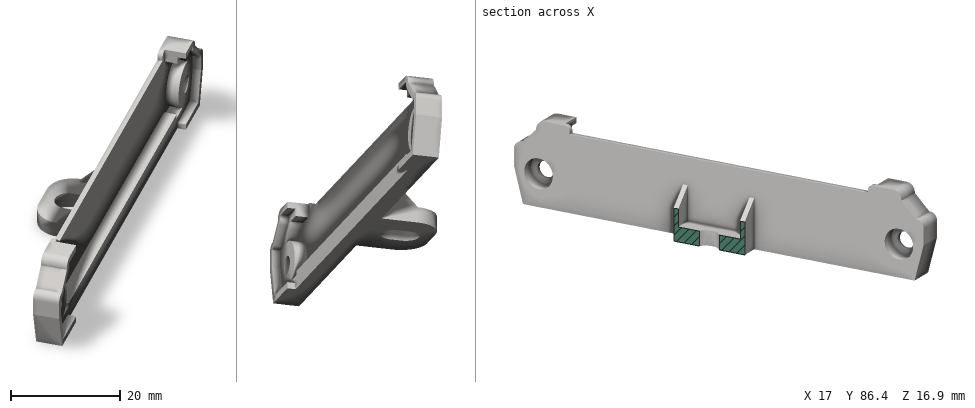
import cadquery as cq

half_length = 43.2
height = 16.9
end_depth = 5.0

bottom_half_length = 41.3
taper_top = 7.2
shoulder_y = 41.55
shoulder_z = 12.0
tab_outer_y = 38.5
tab_outer_z = shoulder_z + shoulder_y - tab_outer_y
shoulder_radius = 1.5
tab_outer_radius = 1.7

web_thickness = 1.0
web_top = 15.35
tab_inner_y = 31.45
tab_inner_radius = 1.0

lip_wall = 1.2
step_wall = 2.6
step_depth = 3.4
end_inner_y = 32.9

rail_half_length = 32.4
rail_height = 3.4

screw_y = 38.0
screw_z = 6.5
screw_diameter = 3.4
head_diameter = 6.0
head_depth = 2.5
boss_diameter = 9.0

foot_reach = 12.0
foot_width = 15.0
foot_thickness = 3.0
foot_corner_radius = 5.0
slot_center_x = -6.0
slot_length = 7.2
slot_width = 5.0
gusset_thickness = 1.0
gusset_length = foot_reach - foot_corner_radius
gusset_top = foot_thickness + gusset_length


def block(x_range, y_range, z_range):
    """Axis-aligned box between the given limits."""
    size = [high - low for low, high in (x_range, y_range, z_range)]
    corner = (x_range[0], y_range[0], z_range[0])
    return cq.Workplane("XY").box(*size, centered=False).translate(corner)


def outline_prism():
    """Full-length outline extruded to the depth of the ends."""
    half_points = [
        (bottom_half_length, 0),
        (half_length, taper_top),
        (half_length, shoulder_z),
        (shoulder_y, shoulder_z),
        (tab_outer_y, tab_outer_z),
        (tab_outer_y, height),
    ]
    mirrored_points = [(-y, z) for y, z in reversed(half_points)]
    prism = cq.Workplane("YZ").polyline(half_points + mirrored_points).close().extrude(end_depth)
    rounded_corners = (
        (half_length, shoulder_z, shoulder_radius),
        (tab_outer_y, height, tab_outer_radius),
    )
    for y, z, radius in rounded_corners:
        for side in (-1, 1):
            edge_middle = (end_depth / 2, side * y, z)
            prism = prism.edges(cq.selectors.NearestToPointSelector(edge_middle)).fillet(radius)
    return prism


def cavity(prism, wall, depth_start, depth_end):
    """Space left inside a rim of the given wall thickness, between two depths."""
    rim_wire = prism.faces("<X").wires().val()
    inner_wire = rim_wire.offset2D(-wall)[0]
    inner_face = cq.Face.makeFromWires(inner_wire)
    depth = cq.Vector(depth_end - depth_start, 0, 0)
    solid = cq.Solid.extrudeLinear(inner_face, depth)
    return cq.Workplane(solid.translate(cq.Vector(depth_start, 0, 0)))


def web_and_rim():
    """Web with the stepped rim around its ends and along its bottom edge."""
    prism = outline_prism()
    body = prism.cut(cavity(prism, step_wall, web_thickness, step_depth))
    body = body.cut(cavity(prism, lip_wall, step_depth, end_depth))
    middle = (-end_inner_y, end_inner_y)
    body = body.cut(block((web_thickness, end_depth), middle, (step_wall, height)))
    body = body.cut(block((step_depth, end_depth), middle, (0, height)))
    return body.cut(tab_gap())


def tab_gap():
    """Space above the lowered web, flared by the rounded inner corners of the tabs."""
    gap = block((0, web_thickness), (-tab_inner_y, tab_inner_y), (web_top, height))
    for side in (-1, 1):
        corner = block((0, web_thickness), (0, tab_inner_radius), (height - tab_inner_radius, height))
        rounding = (
            cq.Workplane("YZ")
            .center(tab_inner_radius, height - tab_inner_radius)
            .circle(tab_inner_radius)
            .extrude(web_thickness)
        )
        flare = corner.cut(rounding).translate((0, tab_inner_y, 0))
        gap = gap.union(flare if side > 0 else flare.mirror("XZ"))
    return gap


def screw_cylinder(side, diameter, depth):
    """Cylinder on a screw axis, from the front of the web to the given depth."""
    return cq.Workplane("YZ").center(side * screw_y, screw_z).circle(diameter / 2).extrude(depth)


def rail():
    """Straight bar behind the web, between the two ends."""
    return block((web_thickness, step_depth), (-rail_half_length, rail_half_length), (0, rail_height))


def foot():
    """Foot plate with rounded front corners and a gusset along each side."""
    half_width = foot_width / 2
    plate = block((-foot_reach, web_thickness), (-half_width, half_width), (0, foot_thickness))
    plate = plate.edges("|Z and <X").fillet(foot_corner_radius)
    for gusset_y in (-half_width, half_width - gusset_thickness):
        gusset = (
            cq.Workplane("XZ")
            .polyline([(-gusset_length, foot_thickness), (0, foot_thickness), (0, gusset_top)])
            .close()
            .extrude(-gusset_thickness)
            .translate((0, gusset_y, 0))
        )
        plate = plate.union(gusset)
    slot = (
        cq.Workplane("XY")
        .center(slot_center_x, 0)
        .slot2D(slot_length, slot_width)
        .extrude(foot_thickness)
    )
    return plate.cut(slot)


result = web_and_rim().union(rail())
for end_side in (-1, 1):
    result = result.union(screw_cylinder(end_side, boss_diameter, step_depth))
    result = result.cut(screw_cylinder(end_side, head_diameter, head_depth))
    result = result.cut(screw_cylinder(end_side, screw_diameter, end_depth))
result = result.union(foot())